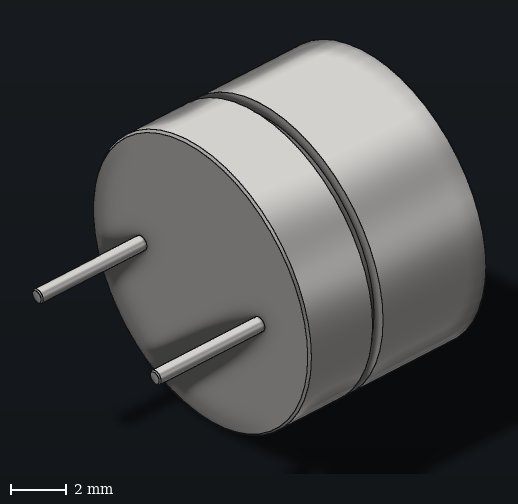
import cadquery as cq

total_length = 13.5
body_diameter = 12.0
pin_length = 5.0
body_length = total_length - pin_length
rim_chamfer = 0.1

rear_length = 5.0
groove_width = 0.5
groove_depth = 0.5

pin_diameter = 0.6
pin_spacing = 6.5
pin_tip_chamfer = 0.05


def cylinder_to_front(diameter, length, rear_y=0):
    """Cylinder starting at rear_y and extending toward -Y, centred on the Y axis."""
    return cq.Workplane("XZ", origin=(0, rear_y, 0)).circle(diameter / 2).extrude(length)


def make_body():
    """Round housing with chamfered rims and a groove; its pin face lies at Y = 0."""
    body = cylinder_to_front(body_diameter, body_length, body_length)
    body = body.faces("<Y or >Y").edges().chamfer(rim_chamfer)
    groove_rear = body_length - rear_length
    groove_floor = cylinder_to_front(body_diameter - 2 * groove_depth, groove_width, groove_rear)
    ring = cylinder_to_front(body_diameter, groove_width, groove_rear).cut(groove_floor)
    return body.cut(ring)


def make_pin(x):
    """Straight pin with a chamfered tip."""
    pin = cylinder_to_front(pin_diameter, pin_length)
    return pin.faces("<Y").edges().chamfer(pin_tip_chamfer).translate((x, 0, 0))


result = make_body()
for side in (-1, 1):
    result = result.union(make_pin(side * pin_spacing / 2))